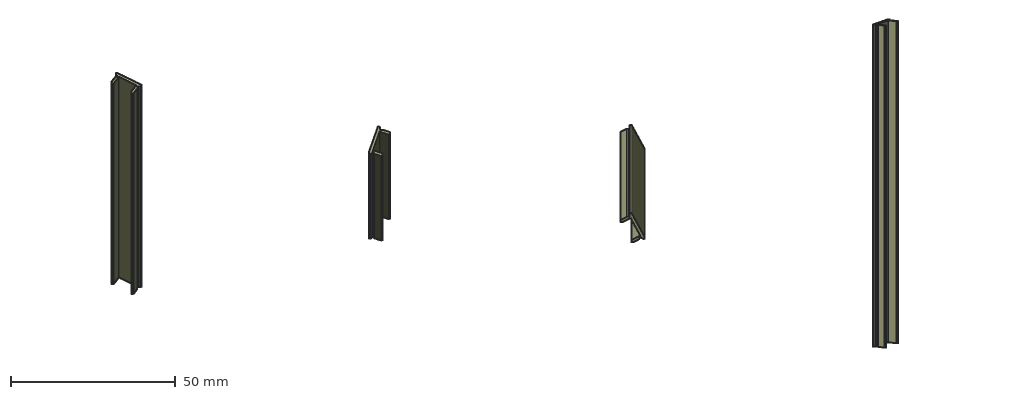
import cadquery as cq

length = 100.0
width = 9.1
depth = 4.3

plate_thickness = 1.0
back_corner_radius = 0.3
bevel_width = 0.6
bevel_depth = 0.4

leg_spacing = 6.2
leg_thickness = 0.9
tip_bevel_width = 0.3
tip_bevel_height = 0.4
undercut = 0.3
undercut_end = 1.8
undercut_slope = 0.5

half_width = width / 2
back_y = depth / 2
tip_y = back_y - depth
plate_front_y = back_y - plate_thickness
tip_bevel_y = tip_y + tip_bevel_height
bevel_y = plate_front_y + bevel_depth
undercut_end_y = back_y - undercut_end
ramp_start_y = undercut_end_y + undercut_slope
inner_x = leg_spacing / 2
outer_x = inner_x + leg_thickness
neck_x = outer_x - undercut


def make_plate():
    plate = (
        cq.Workplane("XY")
        .moveTo(-half_width, back_y)
        .lineTo(half_width, back_y)
        .lineTo(half_width, bevel_y)
        .lineTo(half_width - bevel_width, plate_front_y)
        .lineTo(-half_width + bevel_width, plate_front_y)
        .lineTo(-half_width, bevel_y)
        .close()
        .extrude(length)
    )
    return plate.faces(">Y").edges("|Z").fillet(back_corner_radius)


def make_leg():
    return (
        cq.Workplane("XY")
        .moveTo(inner_x, bevel_y)
        .lineTo(neck_x, bevel_y)
        .lineTo(neck_x, ramp_start_y)
        .lineTo(outer_x, undercut_end_y)
        .lineTo(outer_x, tip_bevel_y)
        .lineTo(outer_x - tip_bevel_width, tip_y)
        .lineTo(inner_x + tip_bevel_width, tip_y)
        .lineTo(inner_x, tip_bevel_y)
        .close()
        .extrude(length)
    )


right_leg = make_leg()
left_leg = right_leg.mirror("YZ")
section = make_plate().union(right_leg).union(left_leg)

result = section.translate((0, 0, -length / 2))